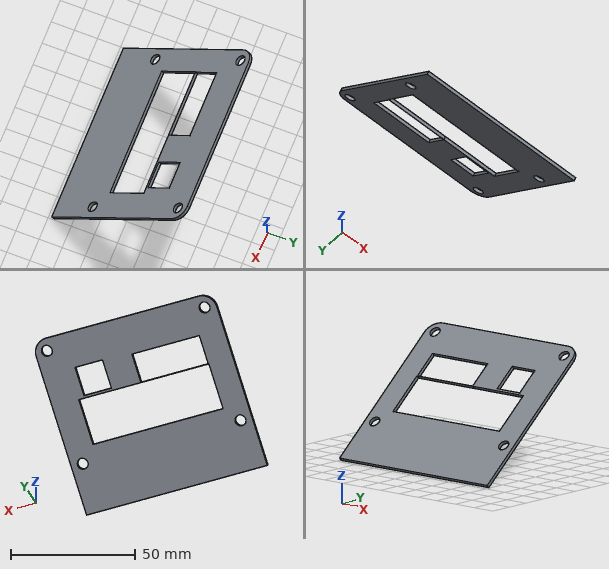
import cadquery as cq

plate_width = 79.0
plate_length = 73.55
plate_thickness = 1.5
corner_radius = 6.0
tilt_angle = 40.0

hole_diameter = 4.5
hole_spacing_x = 69.0
hole_spacing_y = 48.0
hole_top_margin = 5.0

large_left = -29.0
large_bottom = 26.9
large_width = 56.9
large_height = 19.0
large_top = large_bottom + large_height

thin_bar = 0.1
wide_left = -28.75
wide_width = 29.5
wide_height = 12.0
wide_bottom = large_top + thin_bar

square_left = 13.3
square_side = 12.0
square_gap = 1.0
square_bottom = large_top + square_gap


def make_plate():
    """Flat plate with its upper face on Z = 0 and two rounded upper corners."""
    plate = cq.Workplane("XY").box(
        plate_width, plate_length, plate_thickness, centered=(True, False, False)
    )
    plate = plate.translate((0, 0, -plate_thickness))
    return plate.edges("|Z and >Y").fillet(corner_radius)


def cut_window(plate, left, bottom, width, height):
    """Cut a rectangular opening through the plate from its lower left corner."""
    cutter = cq.Workplane("XY").box(width, height, plate_thickness, centered=False)
    return plate.cut(cutter.translate((left, bottom, -plate_thickness)))


def cut_mounting_holes(plate):
    """Drill the four holes at the corners of a rectangle."""
    center_y = plate_length - hole_top_margin - hole_spacing_y / 2
    drills = (
        cq.Workplane("XY")
        .center(0, center_y)
        .rect(hole_spacing_x, hole_spacing_y, forConstruction=True)
        .vertices()
        .circle(hole_diameter / 2)
        .extrude(-plate_thickness)
    )
    return plate.cut(drills)


flat_plate = make_plate()
flat_plate = cut_mounting_holes(flat_plate)
flat_plate = cut_window(flat_plate, large_left, large_bottom, large_width, large_height)
flat_plate = cut_window(flat_plate, wide_left, wide_bottom, wide_width, wide_height)
flat_plate = cut_window(flat_plate, square_left, square_bottom, square_side, square_side)

result = flat_plate.rotate((0, 0, 0), (1, 0, 0), tilt_angle)